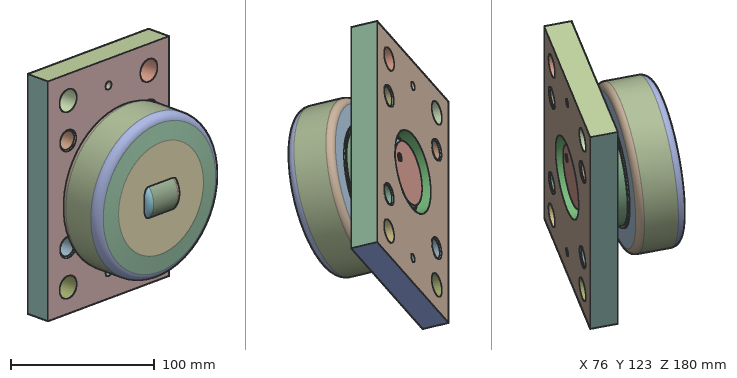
import cadquery as cq
import math

PLATE_THICKNESS = 20.0
PLATE_WIDTH = 120.0
PLATE_HEIGHT = 180.0

HOLE_Y = 40.0
CLEARANCE_HOLE_Z = 70.0
CLEARANCE_HOLE_DIAMETER = 17.0
THREADED_HOLE_Z = 40.0
THREADED_HOLE_DIAMETER = 14.0
THREADED_HOLE_MOUTH_DIAMETER = 16.0
DOWEL_HOLE_Z = 70.0
DOWEL_HOLE_DIAMETER = 6.0

HUB_RADIUS = 40.0
COLLAR_RADIUS = 42.0
COLLAR_START = 32.5
ROLLER_START = 33.75
ROLLER_RADIUS = 61.5
ROLLER_BACK_FILLET = 5.0
ROLLER_RIM_END = 63.25
ROLLER_FRONT_FILLET = 6.5
FACE_RADIUS = COLLAR_RADIUS
FACE_SLOPE = math.radians(6.5)

SIDE_ROLLER_RADIUS = 17.0
SIDE_ROLLER_LENGTH = 33.0
SIDE_ROLLER_FILLET = 4.5
PART_LENGTH = 76.0

RECESS_RADIUS = 30.0
RECESS_DEPTH = 10.0
PIN_BASE_RADIUS = 27.5
PIN_TIP_RADIUS = 23.0
PIN_TIP_DEPTH = 3.5

GREASE_HOLE_OFFSET = 15.0
GREASE_HOLE_ANGLE = math.radians(20)
GREASE_HOLE_DIAMETER = 4.5
GREASE_HOLE_MOUTH_DIAMETER = 6.0
GREASE_HOLE_DEPTH = 10.0
DRILL_POINT_HALF_ANGLE = math.radians(59)


def mirrored(y, z):
    """All distinct sign combinations of a Y, Z position."""
    return sorted({(sy * y, sz * z) for sy in (1, -1) for sz in (1, -1)})


def drill(diameter, start, depth, positions):
    """Cylinders along +X from X = start."""
    plane = cq.Workplane("YZ", origin=(start, 0, 0))
    return plane.pushPoints(positions).circle(diameter / 2).extrude(depth)


def countersink(mouth_diameter, hole_diameter, start, direction, positions):
    """45 degree cones narrowing from the mouth at X = start along +X or -X."""
    mouth_radius = mouth_diameter / 2
    hole_radius = hole_diameter / 2
    cone_length = mouth_radius - hole_radius
    axis = cq.Vector(direction, 0, 0)
    cones = cq.Workplane("XY")
    for y, z in positions:
        cone = cq.Solid.makeCone(mouth_radius, hole_radius, cone_length, cq.Vector(start, y, z), axis)
        cones = cones.add(cone)
    return cones.combine()


def make_plate():
    plate = cq.Workplane("XY").box(
        PLATE_THICKNESS, PLATE_WIDTH, PLATE_HEIGHT, centered=(False, True, True)
    )
    threaded = mirrored(HOLE_Y, THREADED_HOLE_Z)
    plate = plate.cut(
        drill(CLEARANCE_HOLE_DIAMETER, 0, PLATE_THICKNESS, mirrored(HOLE_Y, CLEARANCE_HOLE_Z))
    )
    plate = plate.cut(drill(DOWEL_HOLE_DIAMETER, 0, PLATE_THICKNESS, mirrored(0, DOWEL_HOLE_Z)))
    plate = plate.cut(drill(THREADED_HOLE_DIAMETER, 0, PLATE_THICKNESS, threaded))
    for start, direction in ((0, 1), (PLATE_THICKNESS, -1)):
        plate = plate.cut(
            countersink(
                THREADED_HOLE_MOUTH_DIAMETER, THREADED_HOLE_DIAMETER, start, direction, threaded
            )
        )
    return plate


def fillet_point(centre_x, centre_r, radius, angle):
    """Point on a fillet arc, with the angle measured from +X towards the rim."""
    return (centre_x + radius * math.cos(angle), centre_r + radius * math.sin(angle))


def make_roller():
    """Hub, collar and roller turned about the X axis."""
    back_x = ROLLER_START + ROLLER_BACK_FILLET
    back_r = ROLLER_RADIUS - ROLLER_BACK_FILLET
    front_r = ROLLER_RADIUS - ROLLER_FRONT_FILLET
    quarter = math.pi / 2
    back_middle = fillet_point(back_x, back_r, ROLLER_BACK_FILLET, 1.5 * quarter)
    front_middle = fillet_point(
        ROLLER_RIM_END, front_r, ROLLER_FRONT_FILLET, (quarter + FACE_SLOPE) / 2
    )
    front_end = fillet_point(ROLLER_RIM_END, front_r, ROLLER_FRONT_FILLET, FACE_SLOPE)
    profile = (
        cq.Workplane("XY")
        .moveTo(PLATE_THICKNESS, 0)
        .lineTo(PLATE_THICKNESS, HUB_RADIUS)
        .lineTo(COLLAR_START, HUB_RADIUS)
        .lineTo(COLLAR_START, COLLAR_RADIUS)
        .lineTo(ROLLER_START, COLLAR_RADIUS)
        .lineTo(ROLLER_START, back_r)
        .threePointArc(back_middle, (back_x, ROLLER_RADIUS))
        .lineTo(ROLLER_RIM_END, ROLLER_RADIUS)
        .threePointArc(front_middle, front_end)
        .lineTo(FACE_X, FACE_RADIUS)
        .lineTo(FACE_X, 0)
        .close()
    )
    return profile.revolve(360, (0, 0, 0), (1, 0, 0))


def make_side_roller():
    axis_x = PART_LENGTH - SIDE_ROLLER_RADIUS
    return (
        cq.Workplane("XZ", origin=(axis_x, 0, 0))
        .circle(SIDE_ROLLER_RADIUS)
        .extrude(SIDE_ROLLER_LENGTH / 2, both=True)
        .edges("%CIRCLE")
        .fillet(SIDE_ROLLER_FILLET)
    )


def make_recess():
    """Round recess around the pin end, which tapers towards the back face."""
    profile = (
        cq.Workplane("XY")
        .moveTo(0, 0)
        .lineTo(0, RECESS_RADIUS)
        .lineTo(RECESS_DEPTH, RECESS_RADIUS)
        .lineTo(RECESS_DEPTH, PIN_BASE_RADIUS)
        .lineTo(PIN_TIP_DEPTH, PIN_TIP_RADIUS)
        .lineTo(PIN_TIP_DEPTH, 0)
        .close()
    )
    return profile.revolve(360, (0, 0, 0), (1, 0, 0))


def make_grease_hole():
    y = GREASE_HOLE_OFFSET * math.cos(GREASE_HOLE_ANGLE)
    z = GREASE_HOLE_OFFSET * math.sin(GREASE_HOLE_ANGLE)
    bore = drill(GREASE_HOLE_DIAMETER, PIN_TIP_DEPTH, GREASE_HOLE_DEPTH, [(y, z)])
    mouth = countersink(
        GREASE_HOLE_MOUTH_DIAMETER, GREASE_HOLE_DIAMETER, PIN_TIP_DEPTH, 1, [(y, z)]
    )
    radius = GREASE_HOLE_DIAMETER / 2
    point_length = radius / math.tan(DRILL_POINT_HALF_ANGLE)
    point_start = cq.Vector(PIN_TIP_DEPTH + GREASE_HOLE_DEPTH, y, z)
    drill_point = cq.Solid.makeCone(radius, 0, point_length, point_start, cq.Vector(1, 0, 0))
    return bore.union(mouth).union(cq.Workplane(drill_point))


CONE_START_X = ROLLER_RIM_END + ROLLER_FRONT_FILLET * math.cos(FACE_SLOPE)
CONE_START_RADIUS = ROLLER_RADIUS - ROLLER_FRONT_FILLET * (1 - math.sin(FACE_SLOPE))
FACE_X = CONE_START_X + (CONE_START_RADIUS - FACE_RADIUS) * math.tan(FACE_SLOPE)

result = make_plate().union(make_roller()).union(make_side_roller())
result = result.cut(make_recess()).cut(make_grease_hole())